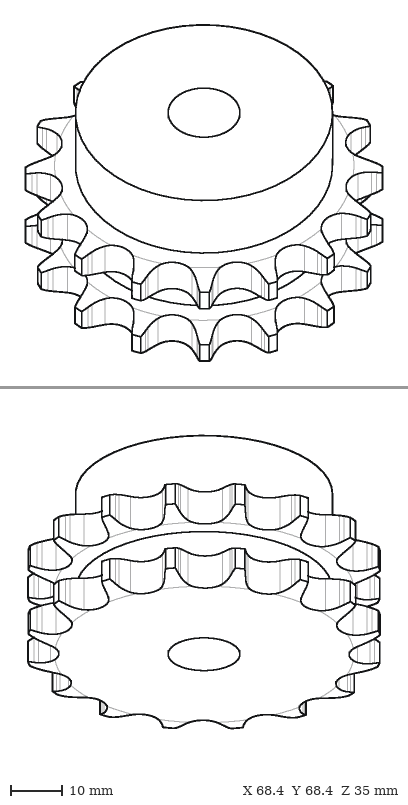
import cadquery as cq
import math


hub_diameter = 50.0
bore_diameter = 14.0
total_height = 35.0

tooth_count = 16
pitch_radius = 32.55
tip_radius = 34.7
rim_width = total_height / 5
rim_spacing = 2 * rim_width
rim_bases = (0, rim_spacing)

relief_start_radius = 29.1
relief_curve_radius = 12.7

seat_radius = 4.3
working_radius = 11.1
flat_length = 0.95
topping_radius = 7.05
seat_half_angle = 55 - 60 / tooth_count
working_angle = 18 - 56 / tooth_count
topping_angle = 16.0
gap_clearance = 2.75


def relief_drop(radius):
    """Axial distance from the flat rim face down to the relief curve at a radius."""
    run = radius - relief_start_radius
    return relief_curve_radius - math.sqrt(relief_curve_radius**2 - run**2)


def step(point, length, heading):
    """Move a length from a point along a heading in degrees from +X."""
    angle = math.radians(heading)
    return (point[0] + length * math.cos(angle), point[1] + length * math.sin(angle))


def arc_point(start, heading, radius, turn):
    """Point reached on an arc; a positive turn in degrees bends left."""
    chord = 2 * radius * math.sin(math.radians(abs(turn)) / 2)
    return step(start, chord, heading + turn / 2)


def mirrored(point):
    return (-point[0], point[1])


def make_gap():
    """Cutter for the gap centred on +Y, as tall as the rim."""
    root = (0, pitch_radius - seat_radius)
    flank_heading = seat_half_angle + working_angle

    seat_end = arc_point(root, 0, seat_radius, seat_half_angle)
    working_middle = arc_point(seat_end, seat_half_angle, working_radius, working_angle / 2)
    working_end = arc_point(seat_end, seat_half_angle, working_radius, working_angle)
    flat_end = step(working_end, flat_length, flank_heading)
    topping_middle = arc_point(flat_end, flank_heading, topping_radius, -topping_angle / 2)
    topping_end = arc_point(flat_end, flank_heading, topping_radius, -topping_angle)
    outer_corner = (topping_end[0], tip_radius + gap_clearance)

    return (
        cq.Workplane("XY")
        .moveTo(*mirrored(seat_end))
        .threePointArc(root, seat_end)
        .threePointArc(working_middle, working_end)
        .lineTo(*flat_end)
        .threePointArc(topping_middle, topping_end)
        .lineTo(*outer_corner)
        .lineTo(*mirrored(outer_corner))
        .lineTo(*mirrored(topping_end))
        .threePointArc(mirrored(topping_middle), mirrored(flat_end))
        .lineTo(*mirrored(working_end))
        .threePointArc(mirrored(working_middle), mirrored(seat_end))
        .close()
        .extrude(rim_width)
    )


def make_rim():
    """Toothed disc standing on Z = 0, relieved on both sides of the teeth."""
    middle_radius = (relief_start_radius + tip_radius) / 2
    middle_drop = relief_drop(middle_radius)
    tip_drop = relief_drop(tip_radius)
    rim = (
        cq.Workplane("XZ")
        .lineTo(relief_start_radius, 0)
        .threePointArc((middle_radius, middle_drop), (tip_radius, tip_drop))
        .lineTo(tip_radius, rim_width - tip_drop)
        .threePointArc((middle_radius, rim_width - middle_drop), (relief_start_radius, rim_width))
        .lineTo(0, rim_width)
        .close()
        .revolve(360, (0, 0, 0), (0, 1, 0))
    )
    gap = make_gap()
    for index in range(tooth_count):
        rim = rim.cut(gap.rotate((0, 0, 0), (0, 0, 1), index * 360 / tooth_count))
    return rim


hub = cq.Workplane("XY").circle(hub_diameter / 2).extrude(total_height)
bore = cq.Workplane("XY").circle(bore_diameter / 2).extrude(total_height)
rim = make_rim()

result = hub
for base in rim_bases:
    result = result.union(rim.translate((0, 0, base)))
result = result.cut(bore)